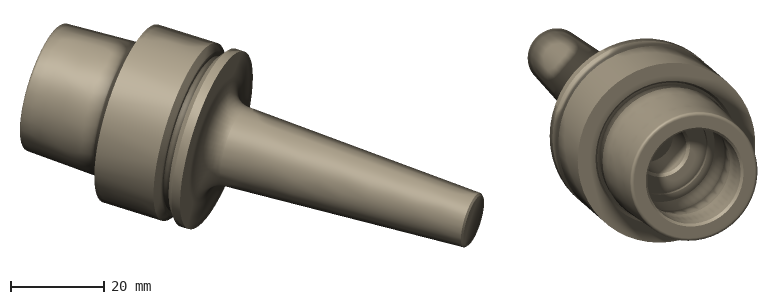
import cadquery as cq
import math

total_length = 100.0
flange_start = 20.0
flange_end = 40.0

nose_radius = 14.3
nose_fillet = 0.7
taper_end = 17.8
taper_end_radius = 15.1
relief_start = 18.7
relief_radius = 14.8

undercut_outer_radius = 16.0
undercut_inner_radius = 15.5
undercut_depth = 0.5

flange_radius = 20.0
groove_start = 33.8
groove_floor_start = 35.0
groove_floor_end = 36.7
groove_end = 38.0
groove_floor_radius = 17.4
groove_wall_radius = 18.5

neck_start = 44.6
neck_start_radius = 8.9
neck_end_radius = 6.1
tip_chamfer = 0.4

bore_radius = 10.5
bore_chamfer = 0.5
bore_straight_depth = 8.1
bore_relief_radius = 11.5
bore_relief_start = 14.9
bore_depth = 22.0
counterbore_radius = 9.9
counterbore_depth = 1.0
inner_bore_radius = 6.2
inner_bore_chamfer = 0.6
inner_bore_depth = 10.0


def revolve_about_x(profile):
    """Turn a closed profile (X, radius) into a solid of revolution about X."""
    return profile.close().revolve(360, (0, 0, 0), (1, 0, 0))


def make_body():
    """Outer shape: taper, flange with groove, neck."""
    neck_slope = math.atan2(neck_start_radius - neck_end_radius, total_length - neck_start)
    root_radius = (neck_start - flange_end) / (1 - math.sin(neck_slope))
    root_center_x = flange_end + root_radius
    root_center_radius = neck_start_radius + root_radius * math.cos(neck_slope)
    mid_angle = math.pi + (math.pi / 2 - neck_slope) / 2
    root_middle = (
        root_center_x + root_radius * math.cos(mid_angle),
        root_center_radius + root_radius * math.sin(mid_angle),
    )
    return revolve_about_x(
        cq.Workplane("XY")
        .moveTo(0, 0)
        .lineTo(0, nose_radius)
        .lineTo(taper_end, taper_end_radius)
        .lineTo(relief_start, relief_radius)
        .lineTo(flange_start, relief_radius)
        .lineTo(flange_start, flange_radius)
        .lineTo(groove_start, flange_radius)
        .lineTo(groove_floor_start, groove_wall_radius)
        .lineTo(groove_floor_start, groove_floor_radius)
        .lineTo(groove_floor_end, groove_floor_radius)
        .lineTo(groove_floor_end, groove_wall_radius)
        .lineTo(groove_end, flange_radius)
        .lineTo(flange_end, flange_radius)
        .lineTo(flange_end, root_center_radius)
        .threePointArc(root_middle, (neck_start, neck_start_radius))
        .lineTo(total_length, neck_end_radius)
        .lineTo(total_length, 0)
    )


def make_bore():
    """Bore that widens inside to a relief, then steps down to a smaller blind bore."""
    bore_floor = bore_depth + counterbore_depth
    inner_end = bore_floor + inner_bore_depth
    return revolve_about_x(
        cq.Workplane("XY")
        .moveTo(0, 0)
        .lineTo(0, bore_radius + bore_chamfer)
        .lineTo(bore_chamfer, bore_radius)
        .lineTo(bore_straight_depth, bore_radius)
        .lineTo(bore_relief_start, bore_relief_radius)
        .lineTo(bore_depth, bore_relief_radius)
        .lineTo(bore_depth, counterbore_radius)
        .lineTo(bore_floor, counterbore_radius)
        .lineTo(bore_floor, inner_bore_radius)
        .lineTo(bore_floor + inner_bore_chamfer, inner_bore_radius - inner_bore_chamfer)
        .lineTo(inner_end, inner_bore_radius - inner_bore_chamfer)
        .lineTo(inner_end, 0)
    )


def make_undercut():
    """Ring cut into the flange face around the root of the taper."""
    return revolve_about_x(
        cq.Workplane("XY")
        .moveTo(flange_start, relief_radius)
        .lineTo(flange_start, undercut_outer_radius)
        .lineTo(flange_start + undercut_depth, undercut_inner_radius)
        .lineTo(flange_start + undercut_depth, relief_radius)
    )


body = make_body()
body = body.faces("<X").edges().fillet(nose_fillet)
body = body.faces(">X").edges().chamfer(tip_chamfer)
result = body.cut(make_bore()).cut(make_undercut())